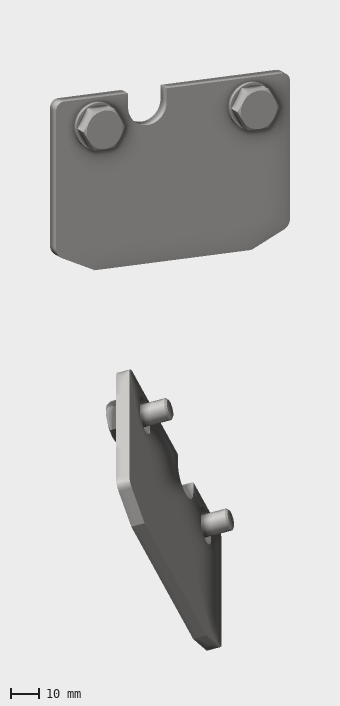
import cadquery as cq
import math

PLATE_WIDTH = 91.0
PLATE_HEIGHT = 63.0
PLATE_THICKNESS = 5.0
TOP_CORNER_RADIUS = 3.0
BOTTOM_CORNER_RADIUS = 4.0
BEVEL_WIDTH = 15.0
BEVEL_HEIGHT = 7.0

NOTCH_WIDTH = 15.0
NOTCH_CENTER_Y = -10.0
NOTCH_ARC_DEPTH = 5.0

BOLT_SPACING = 60.0
BOLT_Z = -10.0
SLOT_WIDTH = 10.0
SLOT_LENGTH = 15.0

WASHER_DIAMETER = 17.0
WASHER_HOLE = 8.4
WASHER_THICKNESS = 1.6

SHANK_DIAMETER = 8.0
SHANK_PROJECTION = 9.4
TIP_CHAMFER = 0.7
HEAD_ACROSS_FLATS = 14.0
HEAD_HEIGHT = 5.5
HEAD_CHAMFER_ANGLE = 30.0

half_width = PLATE_WIDTH / 2
washer_x = PLATE_THICKNESS
head_x = washer_x + WASHER_THICKNESS
bolt_positions = [-BOLT_SPACING / 2, BOLT_SPACING / 2]


def plane_at(x, y=0.0, z=0.0):
    """YZ work plane with local axes Y and Z, extruding toward +X."""
    return cq.Workplane("YZ", origin=(x, y, z))


def make_plate():
    blank = (
        plane_at(0)
        .moveTo(-half_width, 0)
        .lineTo(half_width, 0)
        .lineTo(half_width, BEVEL_HEIGHT - PLATE_HEIGHT)
        .lineTo(half_width - BEVEL_WIDTH, -PLATE_HEIGHT)
        .lineTo(BEVEL_WIDTH - half_width, -PLATE_HEIGHT)
        .lineTo(-half_width, BEVEL_HEIGHT - PLATE_HEIGHT)
        .close()
        .extrude(PLATE_THICKNESS)
    )
    blank = blank.faces("<Y or >Y").edges("|X and >Z").fillet(TOP_CORNER_RADIUS)
    blank = blank.faces("<Y or >Y").edges("|X").edges("<Z").fillet(BOTTOM_CORNER_RADIUS)
    return blank.cut(make_notch()).cut(make_slots())


def make_notch():
    radius = NOTCH_WIDTH / 2
    return (
        plane_at(0, NOTCH_CENTER_Y)
        .moveTo(-radius, 0)
        .lineTo(-radius, -NOTCH_ARC_DEPTH)
        .threePointArc((0, -NOTCH_ARC_DEPTH - radius), (radius, -NOTCH_ARC_DEPTH))
        .lineTo(radius, 0)
        .close()
        .extrude(PLATE_THICKNESS)
    )


def make_slots():
    return (
        plane_at(0)
        .pushPoints([(y, BOLT_Z) for y in bolt_positions])
        .slot2D(SLOT_LENGTH, SLOT_WIDTH, 90)
        .extrude(PLATE_THICKNESS)
    )


def make_washer(y):
    return (
        plane_at(washer_x, y, BOLT_Z)
        .circle(WASHER_DIAMETER / 2)
        .circle(WASHER_HOLE / 2)
        .extrude(WASHER_THICKNESS)
    )


def make_bolt_head(y):
    """Hexagon with corners along Y, its outer end trimmed by a cone."""
    corner_radius = HEAD_ACROSS_FLATS / math.sqrt(3)
    end_radius = HEAD_ACROSS_FLATS / 2
    corner_drop = (corner_radius - end_radius) * math.tan(math.radians(HEAD_CHAMFER_ANGLE))
    hexagon = plane_at(head_x, y, BOLT_Z).polygon(6, 2 * corner_radius).extrude(HEAD_HEIGHT)
    chamfered_envelope = (
        cq.Workplane("XY", origin=(head_x, y, BOLT_Z))
        .lineTo(0, corner_radius)
        .lineTo(HEAD_HEIGHT - corner_drop, corner_radius)
        .lineTo(HEAD_HEIGHT, end_radius)
        .lineTo(HEAD_HEIGHT, 0)
        .close()
        .revolve(360, (0, 0), (1, 0))
    )
    return hexagon.intersect(chamfered_envelope)


def make_bolt(y):
    shank = (
        plane_at(-SHANK_PROJECTION, y, BOLT_Z)
        .circle(SHANK_DIAMETER / 2)
        .extrude(SHANK_PROJECTION + head_x)
        .faces("<X")
        .chamfer(TIP_CHAMFER)
    )
    return shank.union(make_bolt_head(y))


plate = make_plate()
washers = [make_washer(y).val() for y in bolt_positions]
bolts = [make_bolt(y).val() for y in bolt_positions]

result = cq.Compound.makeCompound([plate.val(), *washers, *bolts])